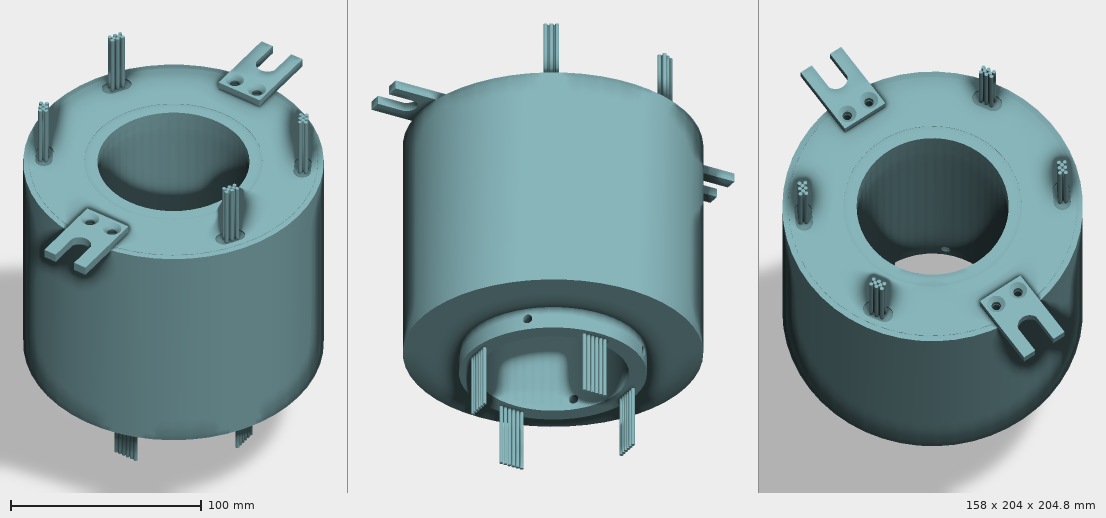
import cadquery as cq
import math

overall_height = 204.8
wire_length = 33.8
collar_height = 12.3
collar_bottom = wire_length
body_bottom = collar_bottom + collar_height
body_top = overall_height - wire_length

body_radius = 158.0 / 2
collar_radius = 49.4
bore_radius = 40.0

lid_radius = 75.8
sleeve_radius = 47.0
lid_rise = 0.2

set_screw_diameter = 5.1
set_screw_overrun = 2.0
set_screw_angles = (45, 135, 225, 315)

plate_width = 26.0
plate_outer_y = 102.0
plate_inner_y = 61.6
plate_thickness = 5.0
fork_width = 11.7
fork_end_y = 82.3
fork_end_radius = 6.3

screw_spacing = 14.0
screw_y = 68.0
screw_head_diameter = 9.6
screw_diameter = 5.0
screw_thread_diameter = 4.0
countersink_angle = 90
screw_hole_depth = 12.3
drill_point_angle = 118

outlet_pitch_radius = screw_y
outlet_angles = (30, 150, 210, 330)
outlet_length = 16.4
outlet_width = 9.0
outlet_depth = 1.0

wire_diameter = 2.0
bundle_pitch_radius = 68.5
bundle_pitch = 3.0
bundle_row_offset = 1.54
row_wire_count = 6
row_pitch = 2.5
row_radius = (bore_radius + collar_radius) / 2
row_angles = (0, 90, 180, 270)


def cylinder(radius, bottom, top):
    """Solid cylinder on the Z axis between two heights."""
    return cq.Workplane("XY", origin=(0, 0, bottom)).circle(radius).extrude(top - bottom)


def make_body():
    """Housing drum with the smaller rotor collar below it and a through bore."""
    drum = cylinder(body_radius, body_bottom, body_top)
    collar = cylinder(collar_radius, collar_bottom, body_bottom)
    bore = cylinder(bore_radius, collar_bottom, body_top)
    return drum.union(collar).cut(bore)


def lowered_ring(outer_radius, inner_radius):
    """Ring of material to remove from the top face so that the lid stays proud."""
    ring = cq.Workplane("XY", origin=(0, 0, body_top)).circle(outer_radius).circle(inner_radius)
    return ring.extrude(-lid_rise)


def set_screw_hole(angle):
    """Radial hole from the collar rim through to the bore."""
    hole = (
        cq.Workplane("YZ", origin=(bore_radius - set_screw_overrun, 0, collar_bottom + collar_height / 2))
        .circle(set_screw_diameter / 2)
        .extrude(collar_radius - bore_radius + 2 * set_screw_overrun)
    )
    return hole.rotate((0, 0, 0), (0, 0, 1), angle)


def make_plate():
    """Stop plate on the +Y side with a round-ended fork opening."""
    arc_depth = fork_end_radius - math.sqrt(fork_end_radius**2 - (fork_width / 2) ** 2)
    return (
        cq.Workplane("XY", origin=(0, 0, body_top))
        .moveTo(-plate_width / 2, plate_inner_y)
        .lineTo(plate_width / 2, plate_inner_y)
        .lineTo(plate_width / 2, plate_outer_y)
        .lineTo(fork_width / 2, plate_outer_y)
        .lineTo(fork_width / 2, fork_end_y + arc_depth)
        .threePointArc((0, fork_end_y), (-fork_width / 2, fork_end_y + arc_depth))
        .lineTo(-fork_width / 2, plate_outer_y)
        .lineTo(-plate_width / 2, plate_outer_y)
        .close()
        .extrude(plate_thickness)
    )


def screw_hole(x):
    """Countersunk blind hole with a drill point, clear in the plate and tapped in the body."""
    plate_top = body_top + plate_thickness
    head_radius = screw_head_diameter / 2
    shank_radius = screw_diameter / 2
    sink_depth = (head_radius - shank_radius) / math.tan(math.radians(countersink_angle / 2))
    thread_radius = screw_thread_diameter / 2
    point_depth = thread_radius / math.tan(math.radians(drill_point_angle / 2))
    hole_bottom = plate_top - screw_hole_depth
    profile = (
        cq.Workplane("XZ")
        .moveTo(0, plate_top)
        .lineTo(head_radius, plate_top)
        .lineTo(shank_radius, plate_top - sink_depth)
        .lineTo(shank_radius, body_top)
        .lineTo(thread_radius, body_top)
        .lineTo(thread_radius, hole_bottom)
        .lineTo(0, hole_bottom - point_depth)
        .close()
    )
    return profile.revolve(360, (0, 0, 0), (0, 1, 0)).translate((x, screw_y, 0))


def outlet_slot(angle):
    """Shallow obround pocket with its length along the tangent."""
    slot = (
        cq.Workplane("XY", origin=(outlet_pitch_radius, 0, body_top))
        .slot2D(outlet_length, outlet_width, 90)
        .extrude(-outlet_depth)
    )
    return slot.rotate((0, 0, 0), (0, 0, 1), angle)


def wire_bundle(angle):
    """Eight wires in staggered rows of 3, 2 and 3, standing on the outlet floor."""
    outer_rows = [(side * bundle_row_offset, i * bundle_pitch) for side in (-1, 1) for i in (-1, 0, 1)]
    middle_row = [(0, side * bundle_pitch / 2) for side in (-1, 1)]
    wires = (
        cq.Workplane("XY", origin=(bundle_pitch_radius, 0, body_top - outlet_depth))
        .pushPoints(outer_rows + middle_row)
        .circle(wire_diameter / 2)
        .extrude(wire_length + outlet_depth)
    )
    return wires.rotate((0, 0, 0), (0, 0, 1), angle)


def wire_row(angle):
    """Straight row of wires hanging from the collar's lower face."""
    wires = (
        cq.Workplane("XY", origin=(row_radius, 0, 0))
        .rarray(2, row_pitch, 1, row_wire_count)
        .circle(wire_diameter / 2)
        .extrude(wire_length)
    )
    return wires.rotate((0, 0, 0), (0, 0, 1), angle)


result = make_body()

result = result.cut(lowered_ring(body_radius, lid_radius))
result = result.cut(lowered_ring(sleeve_radius, bore_radius))

for angle in set_screw_angles:
    result = result.cut(set_screw_hole(angle))

for turn in (0, 180):
    result = result.union(make_plate().rotate((0, 0, 0), (0, 0, 1), turn))
    for x in (-screw_spacing / 2, screw_spacing / 2):
        result = result.cut(screw_hole(x).rotate((0, 0, 0), (0, 0, 1), turn))

for angle in outlet_angles:
    result = result.cut(outlet_slot(angle)).union(wire_bundle(angle))

for angle in row_angles:
    result = result.union(wire_row(angle))